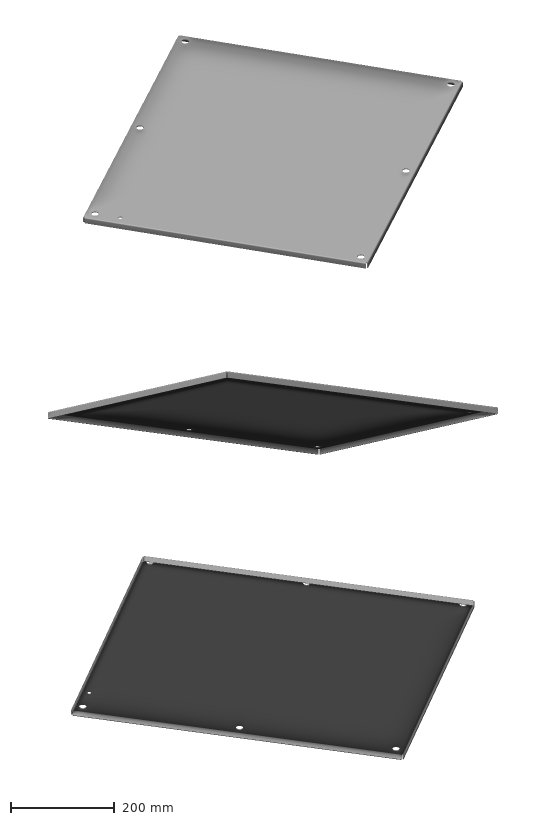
import cadquery as cq

panel_width = 571.5
panel_length = 660.4
panel_height = 12.7

sheet_thickness = 1.9
bend_inner_radius = 0.8
bend_outer_radius = bend_inner_radius + sheet_thickness
corner_clearance = 0.5
corner_notch = bend_outer_radius + corner_clearance

mounting_hole_diameter = 14.3
mounting_hole_edge_distance = 19.05
small_hole_diameter = 7.92
small_hole_spacing = 50.8

mounting_x = panel_width / 2 - mounting_hole_edge_distance
mounting_y = panel_length / 2 - mounting_hole_edge_distance


def bent_block(width, length, height, radius):
    """Block standing on Z = 0 with its top side edges rounded by the bend radius."""
    block = cq.Workplane("XY").box(width, length, height, centered=(True, True, False))
    return block.faces(">Z").edges().fillet(radius)


def folded_sheet():
    """Flat face with a flange bent down along each of its four sides."""
    outside = bent_block(panel_width, panel_length, panel_height, bend_outer_radius)
    inside = bent_block(
        panel_width - 2 * sheet_thickness,
        panel_length - 2 * sheet_thickness,
        panel_height - sheet_thickness,
        bend_inner_radius,
    )
    return outside.cut(inside)


def corner_notches():
    """Square reliefs that separate neighbouring flanges at the four corners."""
    return (
        cq.Workplane("XY")
        .rect(panel_width, panel_length, forConstruction=True)
        .vertices()
        .rect(2 * corner_notch, 2 * corner_notch)
        .extrude(panel_height)
    )


def through_holes(points, diameter):
    return cq.Workplane("XY").pushPoints(points).circle(diameter / 2).extrude(panel_height)


mounting_points = [(x, y) for x in (-mounting_x, mounting_x) for y in (-mounting_y, 0, mounting_y)]

small_hole_points = [(-mounting_x + small_hole_spacing, -mounting_y)]

result = (
    folded_sheet()
    .cut(corner_notches())
    .cut(through_holes(mounting_points, mounting_hole_diameter))
    .cut(through_holes(small_hole_points, small_hole_diameter))
)